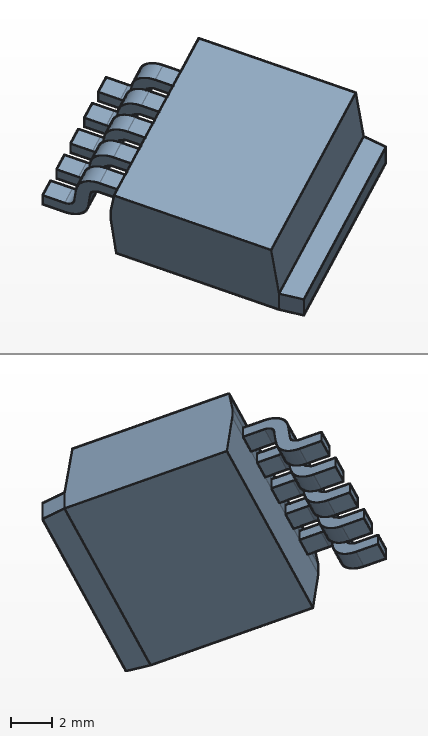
import cadquery as cq
import math

overall_length = 14.35
package_width = 10.4
package_height = 4.65
lead_tip_x = -overall_length / 2
tab_end_x = overall_length / 2

housing_front_x = lead_tip_x + 4.18
front_top_setback = 0.17
front_bottom_setback = 0.29
rear_top_setback = 0.42

tab_length = 1.25
tab_thickness = 1.3
tab_side_taper = 0.16
housing_rear_x = tab_end_x - tab_length

lead_count = 5
lead_pitch = 1.71
lead_width = 0.98
lead_thickness = 0.75
lead_top_z = 3.35
lead_foot_length = 1.18
bend_inner_radius = 0.5
bend_outer_radius = bend_inner_radius + lead_thickness
leg_lean = math.radians(6)
lead_underside_z = lead_top_z - lead_thickness


def extrude_across(profile, width):
    """Extrude a closed XZ profile along Y, centred on Y = 0."""
    return profile.close().extrude(width / 2, both=True)


def make_housing():
    """Moulded block with a drafted front and rear and an upright band at the leads."""
    profile = (
        cq.Workplane("XZ")
        .moveTo(housing_front_x + front_bottom_setback, 0)
        .lineTo(housing_rear_x, 0)
        .lineTo(housing_rear_x, tab_thickness)
        .lineTo(housing_rear_x - rear_top_setback, package_height)
        .lineTo(housing_front_x + front_top_setback, package_height)
        .lineTo(housing_front_x, lead_top_z)
        .lineTo(housing_front_x, lead_underside_z)
    )
    return extrude_across(profile, package_width)


def make_tab():
    """Flat tab behind the housing, with sides that taper toward its free end."""
    root_half = package_width / 2
    end_half = root_half - tab_side_taper
    return (
        cq.Workplane("XY")
        .moveTo(housing_rear_x, -root_half)
        .lineTo(tab_end_x, -end_half)
        .lineTo(tab_end_x, end_half)
        .lineTo(housing_rear_x, root_half)
        .close()
        .extrude(tab_thickness)
    )


def make_lead(y):
    """Gull-wing lead: foot, lower bend, leaning leg, upper bend and arm to the housing."""
    foot_end_x = lead_tip_x + lead_foot_length
    lower_z = bend_outer_radius
    upper_z = lead_top_z - bend_outer_radius
    leg_rise = (upper_z - lower_z) * math.sin(leg_lean)
    centre_spacing = (bend_inner_radius + bend_outer_radius + leg_rise) / math.cos(leg_lean)
    arm_start_x = foot_end_x + centre_spacing

    bend_angle = math.pi / 2 - leg_lean

    def lower_bend(radius, angle):
        return (foot_end_x + radius * math.sin(angle), lower_z - radius * math.cos(angle))

    def upper_bend(radius, angle):
        return (arm_start_x - radius * math.sin(angle), upper_z + radius * math.cos(angle))

    half_bend = bend_angle / 2
    profile = (
        cq.Workplane("XZ", origin=(0, y, 0))
        .moveTo(lead_tip_x, 0)
        .lineTo(foot_end_x, 0)
        .threePointArc(lower_bend(bend_outer_radius, half_bend), lower_bend(bend_outer_radius, bend_angle))
        .lineTo(*upper_bend(bend_inner_radius, bend_angle))
        .threePointArc(upper_bend(bend_inner_radius, half_bend), (arm_start_x, lead_underside_z))
        .lineTo(housing_front_x, lead_underside_z)
        .lineTo(housing_front_x, lead_top_z)
        .lineTo(arm_start_x, lead_top_z)
        .threePointArc(upper_bend(bend_outer_radius, half_bend), upper_bend(bend_outer_radius, bend_angle))
        .lineTo(*lower_bend(bend_inner_radius, bend_angle))
        .threePointArc(lower_bend(bend_inner_radius, half_bend), (foot_end_x, lead_thickness))
        .lineTo(lead_tip_x, lead_thickness)
    )
    return extrude_across(profile, lead_width)


housing = make_housing()
tab = make_tab()
first_lead_y = -lead_pitch * (lead_count - 1) / 2
leads = [make_lead(first_lead_y + index * lead_pitch) for index in range(lead_count)]

result = cq.Compound.makeCompound([housing.val(), tab.val(), *[lead.val() for lead in leads]])